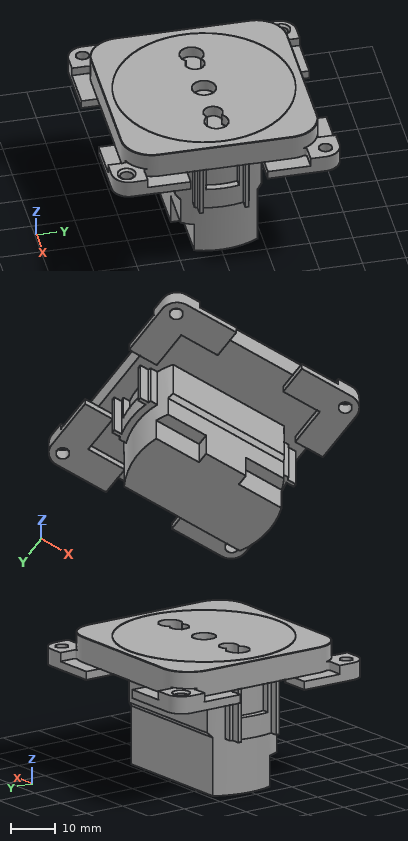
import cadquery as cq
import math

total_height = 32.5
plate_bottom = 26.5
flange_bottom = 24.5
post_top = 28.55

plate_side = 45.4
plate_corner_radius = 7.15
plate_edge_chamfer = 0.13
dial_radius = 20.75
dial_depth = 0.1

pin_radius = 2.75
small_pin_radius = 2.2
pin_offset = 13.05
small_pin_offset = 9.5
pin_depth = 2.75

flange_side = 52.8
flange_corner_radius = 3.95
foot_length = 17.5
post_side = 7.55
post_fillet = 0.55
screw_offset = 23.0
screw_radius = 1.505
countersink_radius = 2.05
countersink_angle = 45

housing_radius = 18.1
housing_half_depth = 10.0
base_half_depth = 8.9
taper_bottom = 13.8
taper_top = 14.95

notch_height = 7.3
notch_inner_x = 5.45
notch_y = -6.05

clip_bottom = 13.35
clip_outer_x = 21.15
clip_half_width = 6.35
fin_outer_y = 5.7
fin_inner_y = 4.85
shell_radius = 19.8
window_bottom = 18.5
window_half_width = 3.8


def box(x0, x1, y0, y1, z0, z1):
    """Axis-aligned block between two opposite corners."""
    return cq.Workplane("XY").box(x1 - x0, y1 - y0, z1 - z0, centered=False).translate((x0, y0, z0))


def cylinder(radius, z0, z1, x=0, y=0):
    """Upright cylinder at (x, y)."""
    return cq.Workplane("XY", origin=(x, y, z0)).circle(radius).extrude(z1 - z0)


def cover_plate():
    plate = (
        cq.Workplane("XY", origin=(0, 0, plate_bottom))
        .rect(plate_side, plate_side)
        .extrude(total_height - plate_bottom)
        .edges("|Z").fillet(plate_corner_radius)
        .faces(">Z").edges().chamfer(plate_edge_chamfer)
    )
    return plate.cut(cylinder(dial_radius, total_height - dial_depth, total_height))


def pin_holes():
    floor = total_height - pin_depth
    holes = cylinder(pin_radius, floor, total_height)
    for side in (-1, 1):
        holes = holes.union(cylinder(pin_radius, floor, total_height, side * pin_offset))
        holes = holes.union(cylinder(small_pin_radius, floor, total_height, side * small_pin_offset))
    return holes


def mounting_foot(countersunk):
    """Foot at the +X +Y corner: a low pad with a raised screw post."""
    outer = flange_side / 2
    pad_inner = outer - foot_length
    post_inner = outer - post_side
    pad = box(pad_inner, outer, pad_inner, outer, flange_bottom, plate_bottom)
    pad = pad.cut(box(pad_inner, post_inner, pad_inner, post_inner, flange_bottom, plate_bottom))
    post = box(post_inner, outer, post_inner, outer, flange_bottom, post_top)
    foot = pad.union(post).edges("|Z and >X and >Y").fillet(flange_corner_radius)
    screw = cq.Workplane("XY", origin=(screw_offset, screw_offset, post_top))
    foot = foot.cut(screw.circle(screw_radius).extrude(flange_bottom - post_top))
    if countersunk:
        sink_depth = (countersink_radius - screw_radius) / math.tan(math.radians(countersink_angle))
        foot = foot.cut(screw.circle(countersink_radius).extrude(-sink_depth, taper=countersink_angle))
    return foot


def housing():
    """Round housing with flats on both Y sides, stepping in through a taper."""
    profile = (
        cq.Workplane("YZ", origin=(-housing_radius, 0, 0))
        .moveTo(-base_half_depth, 0)
        .lineTo(base_half_depth, 0)
        .lineTo(base_half_depth, taper_bottom)
        .lineTo(housing_half_depth, taper_top)
        .lineTo(housing_half_depth, plate_bottom)
        .lineTo(-housing_half_depth, plate_bottom)
        .lineTo(-housing_half_depth, taper_top)
        .lineTo(-base_half_depth, taper_bottom)
        .close()
        .extrude(2 * housing_radius)
    )
    body = profile.intersect(cylinder(housing_radius, 0, plate_bottom))
    notch_length = housing_radius - notch_inner_x
    for x in (-housing_radius, notch_inner_x):
        body = body.cut(box(x, x + notch_length, -housing_half_depth, notch_y, 0, notch_height))
    return body


def side_clip():
    """Curved shell on the +X side with an open window and two upright fins."""
    shell = cylinder(shell_radius, clip_bottom, plate_bottom)
    width_limit = box(0, shell_radius, -clip_half_width, clip_half_width, clip_bottom, plate_bottom)
    window = box(0, shell_radius, -window_half_width, window_half_width, window_bottom, plate_bottom)
    window = window.cut(cylinder(housing_radius, window_bottom, plate_bottom))
    clip = shell.intersect(width_limit).cut(window)
    for y in (-fin_outer_y, fin_inner_y):
        fin_end = y + fin_outer_y - fin_inner_y
        clip = clip.union(box(0, clip_outer_x, y, fin_end, clip_bottom, plate_bottom))
    return clip


def fillet_posts(part):
    """Round the inside corners where the screw posts meet the rounded plate corners."""
    post_inner = flange_side / 2 - post_side
    corner_center = plate_side / 2 - plate_corner_radius
    meeting = corner_center + math.sqrt(plate_corner_radius**2 - (post_inner - corner_center) ** 2)
    middle_z = (plate_bottom + post_top) / 2
    for x_side in (-1, 1):
        for y_side in (-1, 1):
            for x, y in ((post_inner, meeting), (meeting, post_inner)):
                edge = cq.selectors.NearestToPointSelector((x_side * x, y_side * y, middle_z))
                part = part.edges(edge).fillet(post_fillet)
    return part


body = cover_plate().union(housing())
for quarter in range(4):
    foot = mounting_foot(countersunk=quarter % 2 == 1)
    body = body.union(foot.rotate((0, 0, 0), (0, 0, 1), 90 * quarter))
body = fillet_posts(body)
for half_turn in (0, 180):
    body = body.union(side_clip().rotate((0, 0, 0), (0, 0, 1), half_turn))
result = body.cut(pin_holes())